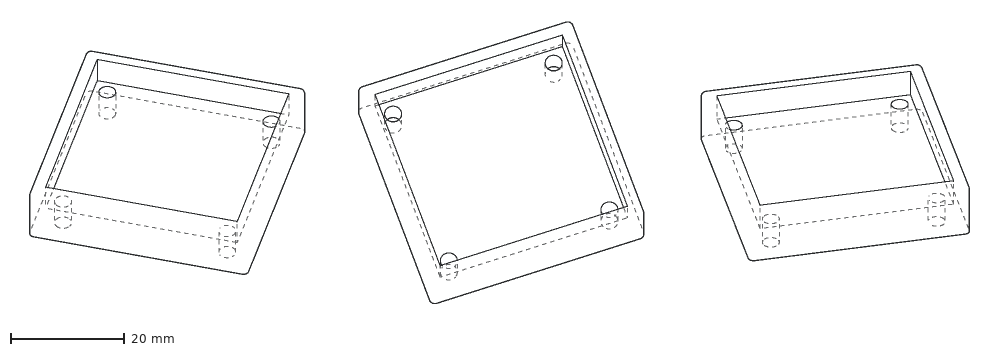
import cadquery as cq

side = 40.0
height = 10.0
edge_radius = 1.0

pocket_side = 35.0
pocket_depth = 5.0

hole_diameter = 3.0
hole_spacing = 30.0

body = cq.Workplane("XY").box(side, side, height, centered=(True, True, False))
body = body.edges("|Z or >Z").fillet(edge_radius)

pocket = (
    cq.Workplane("XY")
    .workplane(offset=height - pocket_depth)
    .rect(pocket_side, pocket_side)
    .extrude(pocket_depth)
)

holes = (
    cq.Workplane("XY")
    .rect(hole_spacing, hole_spacing, forConstruction=True)
    .vertices()
    .circle(hole_diameter / 2)
    .extrude(height)
)

result = body.cut(pocket).cut(holes)